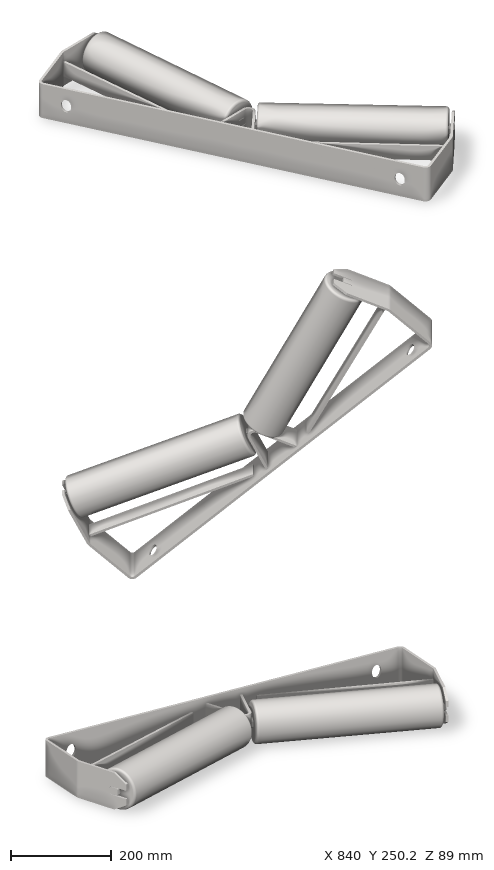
import cadquery as cq
import math

span = 840.0
strip_width = 80.0
thickness = 5.5
corner_radius = 12.0
bend_radius = 16.0
bend_start = 124.0
tilt = 20.0
ear_length = 120.0
ear_chamfer_length = 29.0
ear_chamfer_width = 17.0
hole_offset = 358.0
hole_length = 28.5
hole_width = 22.0

bracket_width = 54.0
arch_top = 96.0
arch_radius = 14.0

roller_diameter = 89.0
roller_length = 380.5
rim_radius = 5.0
roller_gap = 6.0
axis_height = 68.0
axle_diameter = 20.0
axle_flats = 15.0
axle_corner = 2.5

seat_width = 18.5
seat_corner = 4.0
clearance = 8.0

strut_width = 34.0
strut_tilt = 19.5
strut_top = 131.0

half_span = span / 2
sin_tilt = math.sin(math.radians(tilt))
cos_tilt = math.cos(math.radians(tilt))

along = cq.Vector(cos_tilt, -sin_tilt, 0)
across = cq.Vector(sin_tilt, cos_tilt, 0)

bend_centre = cq.Vector(bend_radius - half_span, bend_start, 0)
ear_outer = bend_centre.dot(along) - bend_radius
ear_inner = ear_outer + thickness
ear_tip = bend_centre.dot(across) + ear_length

arch_centre = cq.Vector(0, arch_top - arch_radius, 0)
leg_outer = arch_centre.dot(along) - arch_radius
leg_inner = leg_outer + thickness
axle_length = leg_inner - ear_outer

seat_low = axis_height - axle_diameter / 2
seat_high = axis_height + axle_diameter / 2


def point(along_distance, across_distance):
    """X, Y of a place given along and across the left roller axis."""
    place = along * along_distance + across * across_distance
    return (place.x, place.y)


def arc_point(centre, radius, angle):
    """X, Y on a circle; angle in degrees, counted from +X towards +Y."""
    turn = math.radians(angle)
    return (centre.x + radius * math.cos(turn), centre.y + radius * math.sin(turn))


def mirrored(body):
    """The matching right-hand shape."""
    return body.mirror("YZ")


def axis_plane(along_distance, across_distance):
    """Plane square to the left roller axis, its local X pointing down the ear."""
    return cq.Plane(
        origin=(*point(along_distance, across_distance), 0),
        xDir=across * -1,
        normal=along,
    )


def seat_cutter(start, low, high):
    """Axle slot from low to high, cut through the sheet whose outer face is at start."""
    return (
        cq.Workplane(axis_plane(start - clearance, (low + high) / 2))
        .rect(high - low, seat_width)
        .extrude(thickness + 2 * clearance)
        .edges(cq.selectors.ParallelDirSelector(along))
        .fillet(seat_corner)
    )


def frame_strip():
    """Left half of the bent strip, from the mid-plane to the tip of the ear."""
    corner_centre = cq.Vector(corner_radius - half_span, corner_radius, 0)
    corner_inner = corner_radius - thickness
    bend_inner = bend_radius - thickness
    bend_end = 180 - tilt
    bend_middle = 180 - tilt / 2
    return (
        cq.Workplane("XY")
        .moveTo(0, 0)
        .lineTo(*arc_point(corner_centre, corner_radius, 270))
        .threePointArc(
            arc_point(corner_centre, corner_radius, 225),
            arc_point(corner_centre, corner_radius, 180),
        )
        .lineTo(*arc_point(bend_centre, bend_radius, 180))
        .threePointArc(
            arc_point(bend_centre, bend_radius, bend_middle),
            arc_point(bend_centre, bend_radius, bend_end),
        )
        .lineTo(*point(ear_outer, ear_tip))
        .lineTo(*point(ear_inner, ear_tip))
        .lineTo(*arc_point(bend_centre, bend_inner, bend_end))
        .threePointArc(
            arc_point(bend_centre, bend_inner, bend_middle),
            arc_point(bend_centre, bend_inner, 180),
        )
        .lineTo(*arc_point(corner_centre, corner_inner, 180))
        .threePointArc(
            arc_point(corner_centre, corner_inner, 225),
            arc_point(corner_centre, corner_inner, 270),
        )
        .lineTo(0, thickness)
        .close()
        .extrude(strip_width / 2, both=True)
    )


def ear_corner_cutter(side):
    """Corner of the ear tip to remove; side is +1 for the upper corner, -1 for the lower."""
    edge = side * strip_width / 2
    return (
        cq.Workplane(axis_plane(ear_outer - clearance, ear_tip))
        .polyline([(0, -edge), (ear_chamfer_length, -edge), (0, side * ear_chamfer_width - edge)])
        .close()
        .extrude(thickness + 2 * clearance)
    )


def mounting_hole_cutter():
    return (
        cq.Workplane("XZ")
        .center(-hole_offset, 0)
        .ellipse(hole_width / 2, hole_length / 2)
        .extrude(-thickness)
    )


def make_frame():
    half = frame_strip()
    for side in (1, -1):
        half = half.cut(ear_corner_cutter(side))
    half = half.cut(seat_cutter(ear_outer, seat_low, ear_tip + clearance))
    half = half.cut(mounting_hole_cutter())
    return half.union(mirrored(half))


def leg_foot(along_distance):
    """Place where a face of the left leg meets the top of the base."""
    return ((along_distance + thickness * sin_tilt) / cos_tilt, thickness)


def make_bracket():
    arch_inner = arch_radius - thickness
    right_foot_outer = (-leg_foot(leg_outer)[0], thickness)
    right_foot_inner = (-leg_foot(leg_inner)[0], thickness)
    arch = (
        cq.Workplane("XY")
        .moveTo(*leg_foot(leg_outer))
        .lineTo(*arc_point(arch_centre, arch_radius, 180 - tilt))
        .threePointArc((0, arch_top), arc_point(arch_centre, arch_radius, tilt))
        .lineTo(*right_foot_outer)
        .lineTo(*right_foot_inner)
        .lineTo(*arc_point(arch_centre, arch_inner, tilt))
        .threePointArc(
            (0, arch_top - thickness),
            arc_point(arch_centre, arch_inner, 180 - tilt),
        )
        .lineTo(*leg_foot(leg_inner))
        .close()
        .extrude(bracket_width / 2, both=True)
    )
    seat = seat_cutter(leg_outer, seat_low, seat_high)
    return arch.cut(seat).cut(mirrored(seat))


def make_roller():
    """Left roller: drum, round axle, and flattened axle ends inside the slots."""
    flat_axle = (
        cq.Workplane(axis_plane(ear_outer, axis_height))
        .rect(axle_diameter, axle_flats)
        .extrude(axle_length)
        .edges(cq.selectors.ParallelDirSelector(along))
        .fillet(axle_corner)
    )
    round_axle = (
        cq.Workplane(axis_plane(ear_inner, axis_height))
        .circle(axle_diameter / 2)
        .extrude(axle_length - 2 * thickness)
    )
    drum = (
        cq.Workplane(axis_plane(ear_inner + roller_gap, axis_height))
        .circle(roller_diameter / 2)
        .extrude(roller_length)
        .faces(cq.selectors.ParallelDirSelector(along))
        .edges()
        .fillet(rim_radius)
    )
    return drum.union(round_axle).union(flat_axle)


def make_strut(frame):
    """Left strut: from the upright down to the base, its square end resting on one edge."""
    sin_strut = math.sin(math.radians(strut_tilt))
    cos_strut = math.cos(math.radians(strut_tilt))
    upright_face = thickness - half_span
    end_top = thickness + thickness * cos_strut
    end_x = upright_face + (strut_top - end_top) * cos_strut / sin_strut
    strut = (
        cq.Workplane("XY")
        .polyline([
            (upright_face, strut_top),
            (end_x, end_top),
            (end_x - thickness * sin_strut, thickness),
            (upright_face, strut_top - thickness / cos_strut),
        ])
        .close()
        .extrude(strut_width / 2, both=True)
    )
    return strut.cut(frame)


frame = make_frame()
bracket = make_bracket()
left_roller = make_roller()
left_strut = make_strut(frame)

bodies = [frame, bracket]
for left_body in (left_roller, left_strut):
    bodies += [left_body, mirrored(left_body)]

result = cq.Compound.makeCompound([body.solids().val() for body in bodies])